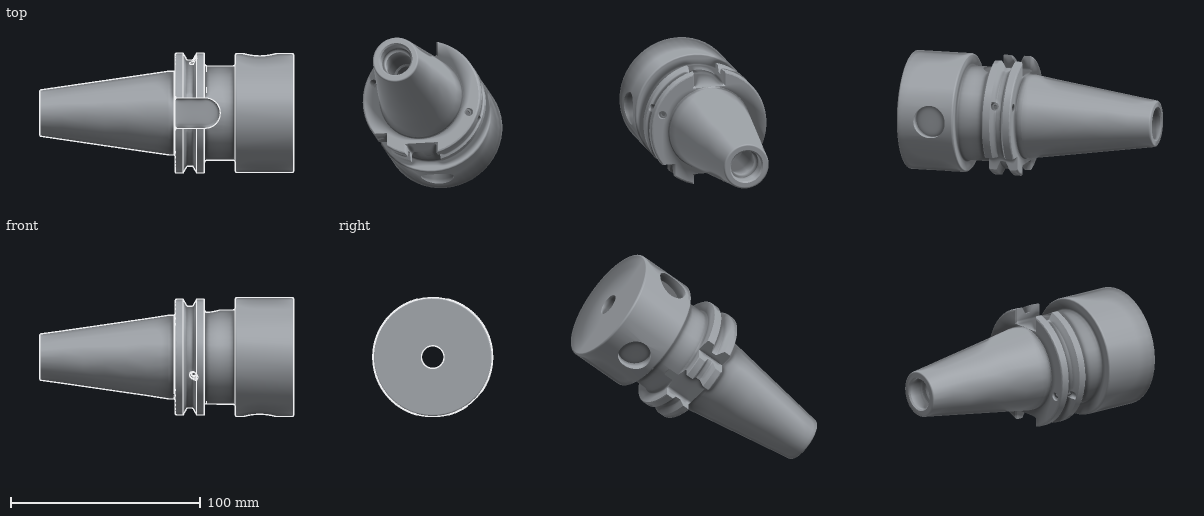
import cadquery as cq
import math

TAPER_LENGTH = 68.25
PROJECTION = 66.0
GAUGE_RADIUS = 22.2
TAPER_RATE = 7 / 24
TAPER_END_ROUND = 1.0

FLANGE_FRONT = 3.2
FLANGE_WIDTH = 15.7
FLANGE_BACK = FLANGE_FRONT + FLANGE_WIDTH
FLANGE_RADIUS = 31.75
FLANGE_ROUND = 1.0
FLANGE_BACK_CHAMFER = 0.4
COLLAR_FILLET = 0.5
GROOVE_CENTRE = FLANGE_FRONT + 7.9
GROOVE_FLOOR_RADIUS = 28.1
GROOVE_FLOOR_HALF = 1.5
GROOVE_SLOPE = math.radians(30)
GROOVE_FILLET = 0.7

NECK_RADIUS = 25.0
NECK_FILLET = 1.1
HEAD_FRONT = 35.0
HEAD_RADIUS = 31.5
HEAD_ROUND = 1.0

SLOT_HALF = 8.05
SLOT_STRAIGHT = 15.9
SLOT_FILLET = 1.6
SLOT_FLOORS = {1: 22.5, -1: 24.9}
ENTRY_DEPTH = 0.8
ENTRY_WIDTH = 0.95

SIDE_RECESS_X = HEAD_FRONT + 13.0
SIDE_RECESS_RADIUS = 8.7
SIDE_RECESS_DEPTH = 6.0
SIDE_RECESS_TURNS = (0, -90)

NOTCH_CORNER = 18.4

PILOT_RADIUS = 8.3
PILOT_DEPTH = 9.3
RELIEF_WIDTH = 2.2
RELIEF_DEPTH = 0.4
MOUTH_CHAMFER = 0.8
THREAD_RADIUS = 7.05
THREAD_DEPTH = 32.0
BORE_CONE = math.radians(60)
THROUGH_RADIUS = 5.9

PORT_ANGLE = 20.0
PORT_RADIUS = 2.15
FACE_PORT_PLACE = 27.2
FACE_PORT_TILT = 25.0
FACE_SCREW_INSET = 3.0
GROOVE_PORT_X = FLANGE_FRONT + 9.95
GROOVE_PORT_MOUTH = 29.0
GROOVE_SCREW_INSET = 2.2
SCREW_LENGTH = 4.0
SOCKET_ACROSS = 2.3
SOCKET_DEPTH = 1.5

SELECT_MARGIN = 0.01


def circles(x, radius):
    """Selector for the circular edges of one radius at one place along the axis."""
    reach = radius + SELECT_MARGIN
    inner = radius - SELECT_MARGIN
    low = x - SELECT_MARGIN
    high = x + SELECT_MARGIN
    ring = cq.selectors.BoxSelector((low, -reach, -reach), (high, reach, reach), True)
    core = cq.selectors.BoxSelector((low, -inner, -inner), (high, inner, inner), True)
    return ring - core


def turned_blank():
    """Taper, flange, neck and head as one revolved body."""
    end_radius = GAUGE_RADIUS - TAPER_LENGTH * TAPER_RATE / 2
    groove_depth = FLANGE_RADIUS - GROOVE_FLOOR_RADIUS
    top_half = GROOVE_FLOOR_HALF + groove_depth * math.tan(GROOVE_SLOPE)
    outline = [
        (-TAPER_LENGTH, 0),
        (-TAPER_LENGTH, end_radius),
        (0, GAUGE_RADIUS),
        (FLANGE_FRONT, GAUGE_RADIUS),
        (FLANGE_FRONT, FLANGE_RADIUS),
        (GROOVE_CENTRE - top_half, FLANGE_RADIUS),
        (GROOVE_CENTRE - GROOVE_FLOOR_HALF, GROOVE_FLOOR_RADIUS),
        (GROOVE_CENTRE + GROOVE_FLOOR_HALF, GROOVE_FLOOR_RADIUS),
        (GROOVE_CENTRE + top_half, FLANGE_RADIUS),
        (FLANGE_BACK, FLANGE_RADIUS),
        (FLANGE_BACK, NECK_RADIUS),
        (HEAD_FRONT, NECK_RADIUS),
        (HEAD_FRONT, HEAD_RADIUS),
        (PROJECTION, HEAD_RADIUS),
        (PROJECTION, 0),
    ]
    blank = cq.Workplane("XY").polyline(outline).close().revolve(360, (0, 0, 0), (1, 0, 0))

    rounded_edges = [
        (-TAPER_LENGTH, end_radius, TAPER_END_ROUND),
        (FLANGE_FRONT, GAUGE_RADIUS, COLLAR_FILLET),
        (FLANGE_FRONT, FLANGE_RADIUS, FLANGE_ROUND),
        (GROOVE_CENTRE - GROOVE_FLOOR_HALF, GROOVE_FLOOR_RADIUS, GROOVE_FILLET),
        (GROOVE_CENTRE + GROOVE_FLOOR_HALF, GROOVE_FLOOR_RADIUS, GROOVE_FILLET),
        (FLANGE_BACK, NECK_RADIUS, NECK_FILLET),
        (HEAD_FRONT, NECK_RADIUS, NECK_FILLET),
        (HEAD_FRONT, HEAD_RADIUS, HEAD_ROUND),
        (PROJECTION, HEAD_RADIUS, HEAD_ROUND),
    ]
    for x, radius, size in rounded_edges:
        blank = blank.edges(circles(x, radius)).fillet(size)
    return blank.edges(circles(FLANGE_BACK, FLANGE_RADIUS)).chamfer(FLANGE_BACK_CHAMFER)


def central_bore():
    """Pilot with a relief groove, thread core and through hole along the axis."""
    pilot_end = PILOT_DEPTH - TAPER_LENGTH
    thread_end = THREAD_DEPTH - TAPER_LENGTH
    relief_start = pilot_end - RELIEF_WIDTH
    relief_radius = PILOT_RADIUS + RELIEF_DEPTH
    slope = 1 / math.tan(BORE_CONE)
    outline = [
        (-TAPER_LENGTH, 0),
        (-TAPER_LENGTH, PILOT_RADIUS + MOUTH_CHAMFER),
        (-TAPER_LENGTH + MOUTH_CHAMFER, PILOT_RADIUS),
        (relief_start, PILOT_RADIUS),
        (relief_start + RELIEF_DEPTH, relief_radius),
        (pilot_end - RELIEF_DEPTH, relief_radius),
        (pilot_end, PILOT_RADIUS),
        (pilot_end + (PILOT_RADIUS - THREAD_RADIUS) * slope, THREAD_RADIUS),
        (thread_end, THREAD_RADIUS),
        (thread_end + (THREAD_RADIUS - THROUGH_RADIUS) * slope, THROUGH_RADIUS),
        (PROJECTION, THROUGH_RADIUS),
        (PROJECTION, 0),
    ]
    return cq.Workplane("XY").polyline(outline).close().revolve(360, (0, 0, 0), (1, 0, 0))


def drive_slot(side):
    """Round-ended slot with filleted floor and a bevelled entry, on the +Z or -Z side."""
    floor = SLOT_FLOORS[side]
    height = FLANGE_RADIUS
    arc_x = FLANGE_FRONT + SLOT_STRAIGHT
    start_x = FLANGE_FRONT - SLOT_HALF
    slot = (
        cq.Workplane("XY", origin=(0, 0, floor))
        .moveTo(start_x, -SLOT_HALF)
        .lineTo(arc_x, -SLOT_HALF)
        .threePointArc((arc_x + SLOT_HALF, 0), (arc_x, SLOT_HALF))
        .lineTo(start_x, SLOT_HALF)
        .close()
        .extrude(height)
        .faces("<Z")
        .edges("not <X")
        .fillet(SLOT_FILLET)
    )
    behind_face = (
        cq.Workplane("XY")
        .box(PROJECTION, 2 * FLANGE_RADIUS, 4 * FLANGE_RADIUS, centered=(False, True, True))
        .translate((FLANGE_FRONT, 0, 0))
    )
    entry = (
        cq.Workplane("YZ", origin=(FLANGE_FRONT, 0, floor + height / 2))
        .rect(2 * (SLOT_HALF + ENTRY_WIDTH), height)
        .extrude(ENTRY_DEPTH, taper=math.degrees(math.atan2(ENTRY_WIDTH, ENTRY_DEPTH)))
    )
    cutter = slot.intersect(behind_face).union(entry)
    if side < 0:
        cutter = cutter.rotate((0, 0, 0), (1, 0, 0), 180)
    return cutter


def orientation_notch():
    """Square corner cut through the flange rim at +Y, -Z."""
    size = FLANGE_RADIUS
    return (
        cq.Workplane("XY")
        .box(FLANGE_WIDTH, size, size, centered=False)
        .translate((FLANGE_FRONT, NOTCH_CORNER, -NOTCH_CORNER - size))
    )


def side_recess(turn):
    """Flat-bottomed round recess in the head, turned about the axis."""
    floor = HEAD_RADIUS - SIDE_RECESS_DEPTH
    plane = cq.Plane(origin=(SIDE_RECESS_X, floor, 0), xDir=(1, 0, 0), normal=(0, 1, 0))
    recess = cq.Workplane(plane).circle(SIDE_RECESS_RADIUS).extrude(SIDE_RECESS_DEPTH)
    return recess.rotate((0, 0, 0), (1, 0, 0), turn)


def port_axes():
    """Each port as (mouth point, inward direction, screw inset), with its turn about the axis."""
    tilt = math.radians(FACE_PORT_TILT)
    face_inward = (math.cos(tilt), -math.sin(tilt), 0)
    face = ((FLANGE_FRONT, FACE_PORT_PLACE, 0), face_inward, FACE_SCREW_INSET)
    groove = ((GROOVE_PORT_X, GROOVE_PORT_MOUTH, 0), (0, -1, 0), GROOVE_SCREW_INSET)
    return [(port, turn) for port in (face, groove) for turn in (PORT_ANGLE, PORT_ANGLE + 180)]


def port_plane(port, depth):
    """Workplane across the port at a depth below its mouth, facing inward."""
    mouth, inward, _ = port
    origin = tuple(m + depth * d for m, d in zip(mouth, inward))
    return cq.Workplane(cq.Plane(origin=origin, xDir=(0, 0, 1), normal=inward))


def port_hole(port, turn):
    """Blind hole that ends at the inner end of its screw."""
    inset = port[2]
    overrun = PORT_RADIUS
    length = overrun + inset + SCREW_LENGTH
    hole = port_plane(port, -overrun).circle(PORT_RADIUS).extrude(length)
    return hole.rotate((0, 0, 0), (1, 0, 0), turn)


def set_screw(port, turn):
    """Headless screw with a hexagon socket."""
    inset = port[2]
    socket_corners = SOCKET_ACROSS / math.cos(math.pi / 6)
    screw = port_plane(port, inset).circle(PORT_RADIUS).extrude(SCREW_LENGTH)
    socket = port_plane(port, inset).polygon(6, socket_corners).extrude(SOCKET_DEPTH)
    return screw.cut(socket).rotate((0, 0, 0), (1, 0, 0), turn)


holder = turned_blank().cut(central_bore()).cut(orientation_notch())
for side in SLOT_FLOORS:
    holder = holder.cut(drive_slot(side))
for port, turn in port_axes():
    holder = holder.cut(port_hole(port, turn))
for turn in SIDE_RECESS_TURNS:
    holder = holder.cut(side_recess(turn))

screws = [set_screw(port, turn) for port, turn in port_axes()]
result = cq.Compound.makeCompound([holder.val(), *[screw.val() for screw in screws]])